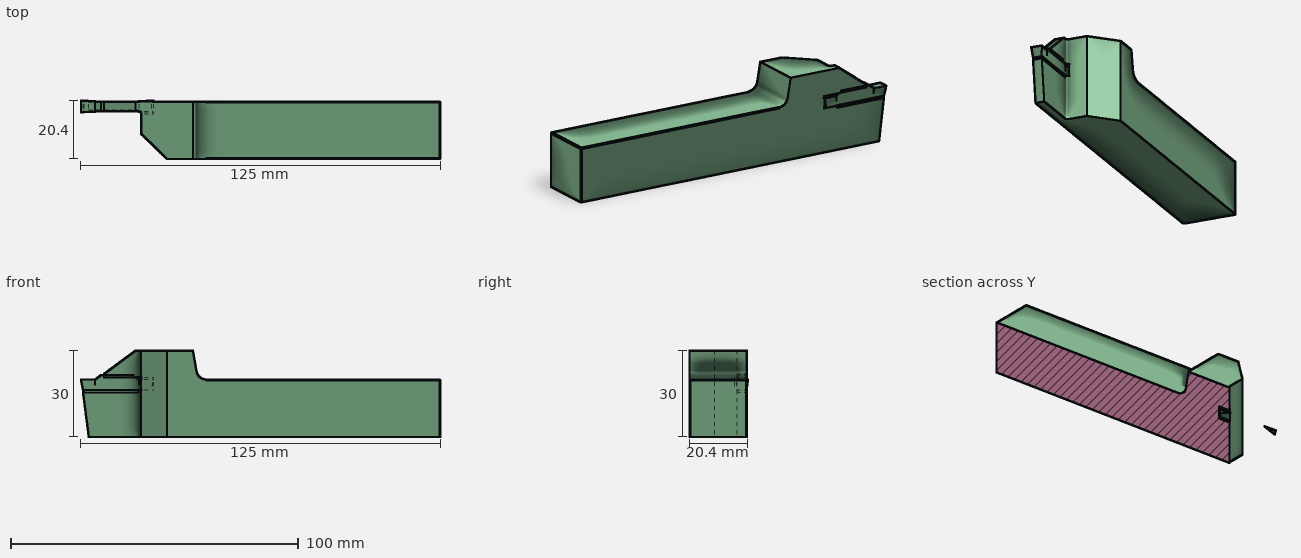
import cadquery as cq
import math

total_length = 125.0
holder_width = 20.0
shank_height = 20.0
head_height = 30.0

head_front_x = 21.0
head_top_end_x = 39.0
head_slope_run = 1.8
head_fillet = 3.5
head_corner_y = -11.2
head_corner_end_x = 30.0
shank_chamfer = 0.4

blade_thickness = 3.4
blade_root_fillet = 1.0
blade_bottom_x = 2.8
blade_top_x = 0.8
clamp_front_x = 8.0
clamp_top_x = 19.0
clamp_front_z = 21.9

insert_length = 25.2
tip_length = 5.0
tip_overhang = 0.4
tip_back_taper = 0.19
tip_draft = 6.0
seat_z = 16.2
ridge_z = 21.5
ridge_start_x = 7.0
notch_z = 20.8

edge_height = 0.8
edge_inset = 0.4

insert_middle_x = insert_length / 2
rear_ridge_x = insert_length - ridge_start_x
rear_tip_x = insert_length - tip_length
notch_fraction = (ridge_z - notch_z) / (ridge_z - shank_height)
notch_end_x = rear_ridge_x + notch_fraction * (rear_tip_x - rear_ridge_x)


def side_prism(points, y_min, y_max):
    """Extrude an XZ outline between two Y positions."""
    prism = cq.Workplane("XZ", origin=(0, y_max, 0)).polyline(points).close()
    return prism.extrude(y_max - y_min)


def plan_prism(points, z_min, z_max):
    """Extrude an XY outline between two Z positions."""
    prism = cq.Workplane("XY", origin=(0, 0, z_min)).polyline(points).close()
    return prism.extrude(z_max - z_min)


def make_shank():
    shank = cq.Workplane("XY").box(
        total_length - head_corner_end_x, holder_width, shank_height, centered=False
    ).translate((head_corner_end_x, -holder_width, 0))
    return shank.edges(">Z or (>X and |Z)").chamfer(shank_chamfer)


def make_head():
    """Head block with a rounded step down to the shank and a slanted front corner."""
    turn = math.atan2(head_height - shank_height, head_slope_run)
    step_x = head_top_end_x + head_slope_run
    tangent = head_fillet * math.tan(turn / 2)
    head_end_x = step_x + tangent
    arc_start = (step_x - tangent * math.cos(turn), shank_height + tangent * math.sin(turn))
    arc_center = (head_end_x, shank_height + head_fillet)
    arc_angle = math.pi * 1.5 - turn / 2
    arc_middle = (
        arc_center[0] + head_fillet * math.cos(arc_angle),
        arc_center[1] + head_fillet * math.sin(arc_angle),
    )
    block = (
        cq.Workplane("XZ")
        .moveTo(head_front_x, 0)
        .lineTo(head_front_x, head_height)
        .lineTo(head_top_end_x, head_height)
        .lineTo(*arc_start)
        .threePointArc(arc_middle, (head_end_x, shank_height))
        .lineTo(head_end_x, 0)
        .close()
        .extrude(holder_width)
    )
    corner = plan_prism(
        [(head_front_x, head_corner_y), (head_corner_end_x, -holder_width), (head_front_x, -holder_width)],
        0, head_height,
    )
    return block.cut(corner)


def make_blade():
    return side_prism(
        [
            (blade_bottom_x, 0),
            (blade_top_x, seat_z - edge_height),
            (blade_top_x + edge_inset, seat_z),
            (clamp_front_x, seat_z),
            (clamp_front_x, clamp_front_z),
            (clamp_top_x, head_height),
            (head_front_x, head_height),
            (head_front_x, 0),
        ],
        -blade_thickness, 0,
    )


def make_root_fillet():
    """Concave rounding between the blade and the front face of the head."""
    block = cq.Workplane("XY").box(
        blade_root_fillet, blade_root_fillet, head_height, centered=False
    ).translate((head_front_x - blade_root_fillet, -blade_thickness - blade_root_fillet, 0))
    rounding = (
        cq.Workplane("XY")
        .center(head_front_x - blade_root_fillet, -blade_thickness - blade_root_fillet)
        .circle(blade_root_fillet)
        .extrude(head_height)
    )
    return block.cut(rounding)


def make_slot():
    """Pocket for the insert, open to both blade sides and as deep as the root fillet inside the head."""
    return side_prism(
        [(0, seat_z), (0, notch_z), (insert_length, notch_z), (insert_length, seat_z)],
        -blade_thickness - blade_root_fillet, 0,
    )


def make_edge_bevel(contact_z, far_z, end_x, face_y, inward):
    """Wedge that slopes one long edge of the seat or the clamp lip."""
    return (
        cq.Workplane("YZ")
        .polyline([(face_y, contact_z), (face_y + inward * edge_inset, contact_z), (face_y, far_z)])
        .close()
        .extrude(end_x)
    )


def make_holder():
    holder = make_shank().union(make_head()).union(make_blade()).union(make_root_fillet())
    holder = holder.cut(make_slot())
    bevel_end_x = head_front_x - blade_root_fillet
    for face_y, inward in ((0, -1), (-blade_thickness, 1)):
        holder = holder.cut(make_edge_bevel(seat_z, seat_z - edge_height, bevel_end_x, face_y, inward))
        holder = holder.cut(make_edge_bevel(notch_z, notch_z + edge_height, rear_ridge_x, face_y, inward))
    return holder


def make_front_tip():
    """Cutting tip, widest at its top front edge, with relieved sides and front face."""
    side = side_prism(
        [(0, shank_height), (tip_length, shank_height), (tip_length, seat_z), (blade_top_x, seat_z)],
        -blade_thickness - tip_overhang, tip_overhang,
    )
    front_y = tip_overhang + tip_back_taper
    back_y = tip_overhang - 2 * tip_back_taper
    drafted_plan = (
        cq.Workplane("XY", origin=(0, 0, shank_height))
        .polyline([
            (-tip_length, front_y),
            (2 * tip_length, back_y),
            (2 * tip_length, -blade_thickness - back_y),
            (-tip_length, -blade_thickness - front_y),
        ])
        .close()
        .extrude(seat_z - shank_height, taper=tip_draft)
    )
    return side.intersect(drafted_plan)


def make_insert():
    """Double-ended cutting insert with a clamping flat on top."""
    body = side_prism(
        [
            (blade_top_x, seat_z),
            (0, shank_height),
            (tip_length, shank_height),
            (ridge_start_x, ridge_z),
            (clamp_front_x, ridge_z),
            (clamp_front_x, notch_z),
            (notch_end_x, notch_z),
            (rear_tip_x, shank_height),
            (insert_length, shank_height),
            (insert_length - blade_top_x, seat_z),
        ],
        -blade_thickness, 0,
    )
    tip = make_front_tip()
    rear_tip = tip.mirror("YZ", (insert_middle_x, 0, 0))
    return body.union(tip).union(rear_tip)


holder = make_holder()
insert = make_insert()
result = cq.Compound.makeCompound([holder.val(), insert.val()])